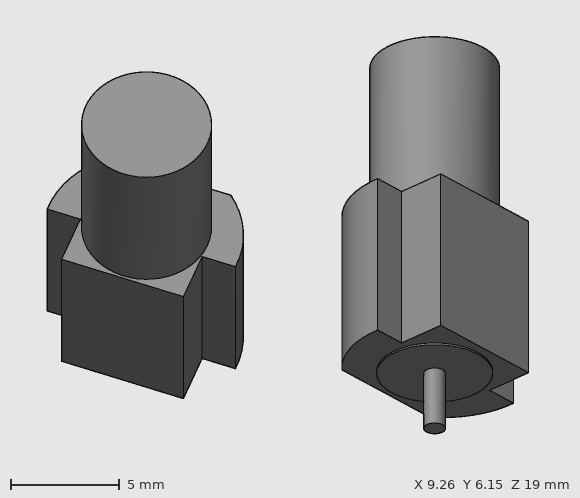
import cadquery as cq
import math

total_height = 19.0
cylinder_diameter = 5.98
cylinder_height = 8.0
body_height = 8.0
body_depth = 6.15
body_back = 3.04
body_front = body_back - body_depth
front_block_half_width = cylinder_diameter / 2
wing_span = 9.25
wing_half_width = wing_span / 2
wing_front = -0.68
collar_diameter = 5.34
collar_height = 0.1
pin_diameter = 1.0
pin_length = total_height - body_height - cylinder_height

wing_arc_center_y = (
    body_back**2 + front_block_half_width**2 - wing_front**2 - wing_half_width**2
) / (2 * (body_back - wing_front))
wing_arc_radius = math.hypot(wing_half_width, wing_front - wing_arc_center_y)
wing_arc_mid_y = (wing_front + body_back) / 2
wing_arc_mid_x = math.sqrt(wing_arc_radius**2 - (wing_arc_mid_y - wing_arc_center_y) ** 2)


def make_body():
    """Rectangular block with a round-sided wing on each side."""
    return (
        cq.Workplane("XY")
        .moveTo(-front_block_half_width, body_front)
        .lineTo(front_block_half_width, body_front)
        .lineTo(front_block_half_width, wing_front)
        .lineTo(wing_half_width, wing_front)
        .threePointArc((wing_arc_mid_x, wing_arc_mid_y), (front_block_half_width, body_back))
        .lineTo(-front_block_half_width, body_back)
        .threePointArc((-wing_arc_mid_x, wing_arc_mid_y), (-wing_half_width, wing_front))
        .lineTo(-front_block_half_width, wing_front)
        .close()
        .extrude(body_height)
    )


def make_cylinder(diameter, base_z, height):
    """Upright cylinder on the Z axis; a negative height runs downward."""
    return cq.Workplane("XY").workplane(offset=base_z).circle(diameter / 2).extrude(height)


body = make_body()
upper_cylinder = make_cylinder(cylinder_diameter, body_height, cylinder_height)
collar = make_cylinder(collar_diameter, 0, -collar_height)
pin = make_cylinder(pin_diameter, 0, -pin_length)

result = body.union(upper_cylinder).union(collar).union(pin)